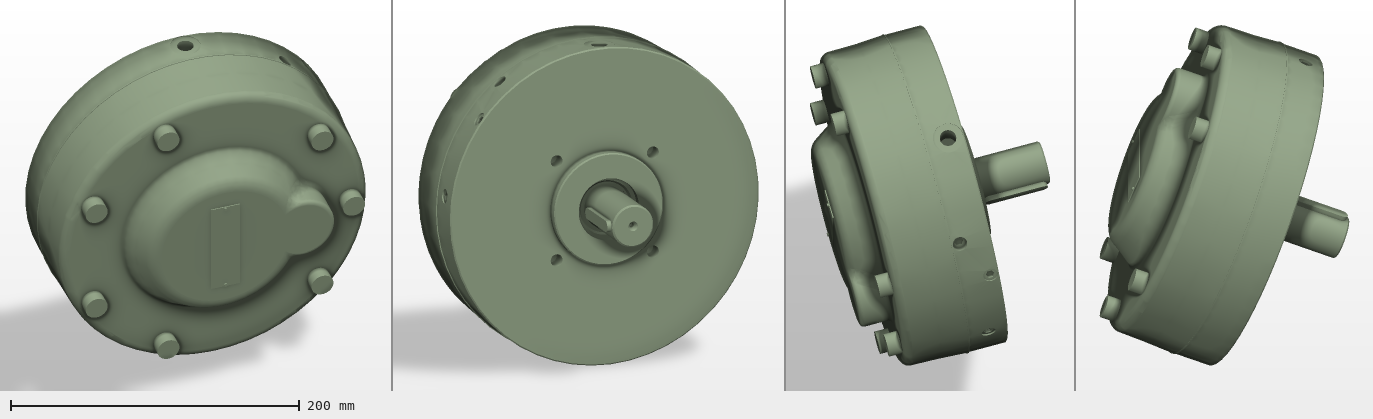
import cadquery as cq
import math


outer_radius = 114.4
front_radius = 113.7
front_chamfer = 1.0
gasket_start = 27.5
gasket_width = 1.0
rear_start_radius = 114.0
rear_end_radius = 112.0
rear_round = 6.5
back_face = 74.0

pilot_radius = 40.0
pilot_length = 8.5
pilot_chamfer = 1.0
recess_radius = 22.2
recess_depth = 5.7
seal_outer_radius = 19.5
seal_inner_radius = 18.0
seal_depth = 1.8
lip_radius = 16.7
lip_depth = 0.7

shaft_radius = 15.0
shaft_tip = -58.0
shaft_chamfer = 1.1
key_width = 8.0
key_length = 45.3
key_start = -55.4
key_top = 18.0
centre_mouth_radius = 3.5
centre_bore_radius = 1.5
centre_cone_depth = 3.2
centre_bore_depth = 6.9

mount_circle_radius = 50.0
mount_hole_radius = 4.3
mount_hole_depth = 12.0
drill_half_angle = math.radians(59)

cover_base_radius = 67.5
cover_rim_start = 91.5
cover_rim_radius = 56.0
cover_face = 96.5
cover_round = 11.0
boss_radius = 23.5
boss_offset = 57.0
boss_round = 3.0
boss_blend = 10.3
cover_foot_blend = 2.7

plate_width = 21.0
plate_length = 69.5
plate_thickness = 0.7
rivet_radius = 1.1
rivet_offset = 33.5
rivet_height = 1.8

bolt_circle_radius = 98.8
bolt_head_radius = 8.0
bolt_head_end = 83.5
bolt_head_height = 10.0
bolt_angles = [0, 40, 112, 155, -155, -112, -40]

port_x = 11.5
port_spot_radius = 10.5
port_spot_height = 113.0
port_bore_radius = 5.7
port_depth = 18.3

plug_radius = 5.0
plug_socket_radius = 3.2
plug_socket_depth = 2.3
plugs = [(6.2, 52.6, 1.1), (13.7, 83, 1.1), (22.2, 37.6, 6.2)]


def cylinder_x(radius, start, end, y=0.0, z=0.0):
    plane = cq.Workplane("YZ", origin=(start, y, z))
    return plane.circle(radius).extrude(end - start)


def turned(points):
    """Solid of revolution about X from (x, radius) points."""
    return cq.Workplane("XY").polyline(points).close().revolve(360, (0, 0, 0), (1, 0, 0))


def make_housing():
    front = cylinder_x(front_radius, 0, gasket_start).faces("<X").edges().chamfer(front_chamfer)
    gasket_end = gasket_start + gasket_width
    gasket = cylinder_x(outer_radius, gasket_start, gasket_end)
    rear = turned([
        (gasket_end, 0),
        (gasket_end, rear_start_radius),
        (back_face, rear_end_radius),
        (back_face, 0),
    ])
    rear = rear.faces(">X").edges().fillet(rear_round)
    return front.union(gasket).union(rear)


def make_cover():
    slope = (cover_base_radius - cover_rim_radius) / (cover_rim_start - back_face)
    face_radius = cover_base_radius - slope * (cover_face - back_face)
    cone = turned([
        (back_face, 0),
        (back_face, cover_base_radius),
        (cover_face, face_radius),
        (cover_face, 0),
    ])
    cone = cone.faces(">X").edges().fillet(cover_round)
    boss = cylinder_x(boss_radius, back_face, cover_face, y=boss_offset)
    boss = boss.faces(">X").edges().fillet(boss_round)
    cover = cone.union(boss)
    return cover.edges("%BSPLINE").fillet(boss_blend)


def add_pilot(body):
    pilot = cylinder_x(pilot_radius, -pilot_length, 0).faces("<X").edges().chamfer(pilot_chamfer)
    floor = recess_depth - pilot_length
    seat = floor + seal_depth
    recess = turned([
        (-pilot_length, 0),
        (-pilot_length, recess_radius),
        (floor, recess_radius),
        (floor, seal_outer_radius),
        (seat, seal_inner_radius),
        (seat, lip_radius),
        (seat + lip_depth, lip_radius),
        (seat + lip_depth, 0),
    ])
    return body.union(pilot).cut(recess)


def make_shaft():
    shaft = cylinder_x(shaft_radius, shaft_tip, 0).faces("<X").edges().chamfer(shaft_chamfer)
    key = (
        cq.Workplane("XZ", origin=(key_start + key_length / 2, 0, 0))
        .slot2D(key_length, key_width)
        .extrude(-key_top)
    )
    cone_end = shaft_tip + centre_cone_depth
    bore_end = shaft_tip + centre_bore_depth
    centre_hole = turned([
        (shaft_tip, 0),
        (shaft_tip, centre_mouth_radius),
        (cone_end, centre_bore_radius),
        (bore_end, centre_bore_radius),
        (bore_end + centre_bore_radius / math.tan(drill_half_angle), 0),
    ])
    return shaft.union(key).cut(centre_hole)


def make_mount_holes():
    hole = turned([
        (0, 0),
        (0, mount_hole_radius),
        (mount_hole_depth, mount_hole_radius),
        (mount_hole_depth + mount_hole_radius / math.tan(drill_half_angle), 0),
    ])
    hole = hole.translate((0, mount_circle_radius, 0))
    holes = cq.Workplane("XY")
    for angle in (45, 135, 225, 315):
        holes = holes.add(hole.rotate((0, 0, 0), (1, 0, 0), angle))
    return holes.combine()


def make_bolt_heads():
    heads = cq.Workplane("XY")
    for degrees in bolt_angles:
        angle = math.radians(degrees)
        y = bolt_circle_radius * math.cos(angle)
        z = bolt_circle_radius * math.sin(angle)
        head_start = bolt_head_end - bolt_head_height
        heads = heads.add(cylinder_x(bolt_head_radius, head_start, bolt_head_end, y, z))
    return heads.combine()


def make_nameplate():
    plate = cq.Workplane("YZ", origin=(cover_face, 0, 0)).rect(plate_width, plate_length)
    plate = plate.extrude(plate_thickness)
    for z in (-rivet_offset, rivet_offset):
        plate = plate.union(cylinder_x(rivet_radius, cover_face, cover_face + rivet_height, z=z))
    return plate


def make_port():
    plane = cq.Workplane("XY", origin=(port_x, 0, port_spot_height))
    spot = plane.circle(port_spot_radius).extrude(outer_radius - port_spot_height)
    bore = plane.circle(port_bore_radius).extrude(-port_depth)
    return spot.union(bore)


def make_plug_recess(x, angle, depth):
    face = front_radius - depth
    plane = cq.Workplane("XY", origin=(x, 0, face))
    bore = plane.circle(plug_radius).extrude(outer_radius - face)
    socket = plane.polygon(6, 2 * plug_socket_radius).extrude(-plug_socket_depth)
    return bore.union(socket).rotate((0, 0, 0), (1, 0, 0), -angle)


def blend_cover_foot(body):
    """Round the corner where the cover meets the back face, inside the bolt heads."""
    reach = bolt_circle_radius - bolt_head_radius
    margin = 0.2
    foot = cq.selectors.BoxSelector(
        (back_face - margin, -reach, -reach), (back_face + margin, reach, reach), boundingbox=True
    )
    return body.edges(foot).fillet(cover_foot_blend)


body = blend_cover_foot(make_housing().union(make_cover()))
body = add_pilot(body).union(make_shaft())
body = body.union(make_bolt_heads()).union(make_nameplate())
body = body.cut(make_mount_holes()).cut(make_port())
for x, angle, depth in plugs:
    body = body.cut(make_plug_recess(x, angle, depth))

result = body